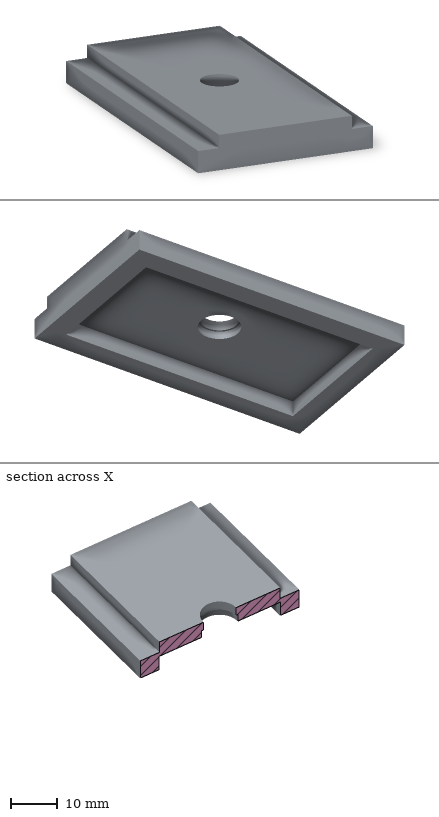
import cadquery as cq

length = 68.0
base_width = 41.3
total_height = 8.0

land_width = 31.35
base_height = 5.0
land_height = total_height - base_height
ledge_width = (base_width - land_width) / 2

roof_thickness = 4.2
recess_depth = total_height - roof_thickness
recess_length = length - 2 * ledge_width
recess_width = base_width - 2 * ledge_width

hole_diameter = 8.4
narrow_depth = 2.3
counterbore_diameter = 9.4
counterbore_top = total_height - narrow_depth


def block(size_x, size_y, size_z, bottom=0):
    """Box centred on the Z axis, standing on the height 'bottom'."""
    plane = cq.Workplane("XY").workplane(offset=bottom)
    return plane.box(size_x, size_y, size_z, centered=(True, True, False))


def cylinder(diameter, height):
    """Upright cylinder on the Z axis, standing on the underside."""
    return cq.Workplane("XY").circle(diameter / 2).extrude(height)


plate = block(length, base_width, base_height)
plate = plate.union(block(length, land_width, land_height, base_height))

plate = plate.cut(block(recess_length, recess_width, recess_depth))

plate = plate.cut(cylinder(hole_diameter, total_height))
plate = plate.cut(cylinder(counterbore_diameter, counterbore_top))

result = plate